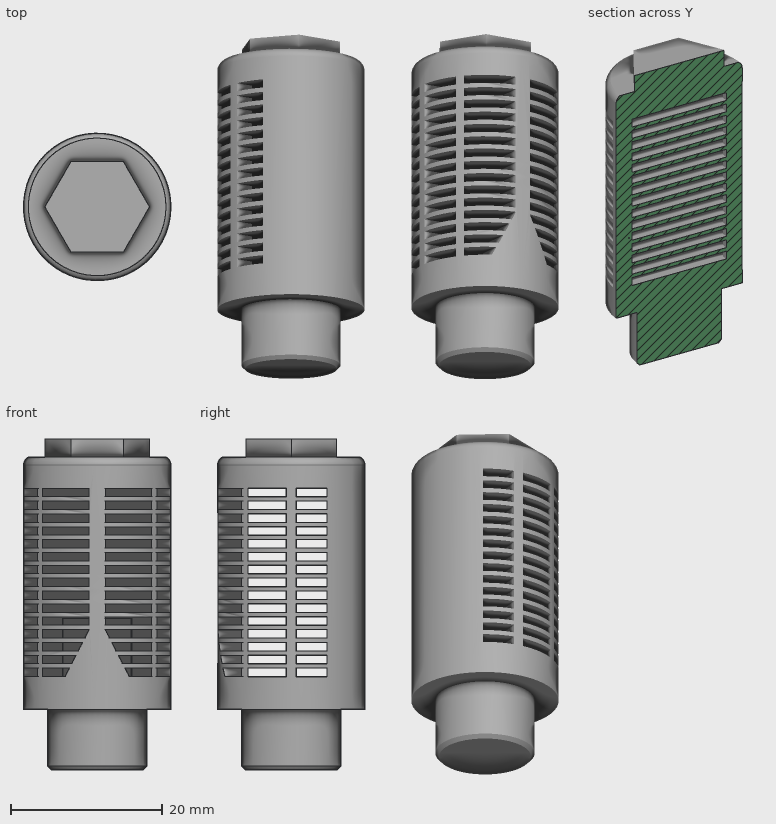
import cadquery as cq
import math

total_height = 43.75
hex_height = 2.4
shoulder_height = 8.0
body_top = total_height - hex_height

body_radius = 19.5 / 2
spigot_radius = 13.157 / 2
spigot_chamfer = 0.5
hex_across_flats = 12.0
hex_across_corners = hex_across_flats / math.cos(math.pi / 6)

rounding_width = 0.65
rounding_height = 1.05
rounding_radius = (rounding_width**2 + rounding_height**2) / (2 * rounding_width)

slot_count = 15
slot_height = 1.1
slot_pitch = 1.7
first_slot_bottom = 12.33

opening_half_width = 7.2
opening_front = -5.7
opening_back = 4.7
front_rib_half_width = 1.1
side_rib_half_width = 0.68

foot_half_base = 4.25
foot_height = 6.15
foot_top = first_slot_bottom + foot_height

core_top = 20.0
core_extra_depth = 0.1

reach = 1.5 * body_radius


def block(x_range, y_range, z_range):
    """Box between the given limits on each axis."""
    sizes = [high - low for low, high in (x_range, y_range, z_range)]
    corner = (x_range[0], y_range[0], z_range[0])
    return cq.Workplane("XY").box(*sizes, centered=False).translate(corner)


def make_spigot():
    spigot = cq.Workplane("XY").circle(spigot_radius).extrude(shoulder_height)
    return spigot.faces("<Z").chamfer(spigot_chamfer)


def make_body():
    """Solid of revolution with the rounded top edge."""
    rounding_bottom = body_top - rounding_height
    half_angle = math.asin(rounding_height / rounding_radius) / 2
    arc_middle = (
        body_radius - rounding_radius * (1 - math.cos(half_angle)),
        rounding_bottom + rounding_radius * math.sin(half_angle),
    )
    profile = (
        cq.Workplane("XZ")
        .moveTo(0, shoulder_height)
        .lineTo(body_radius, shoulder_height)
        .lineTo(body_radius, rounding_bottom)
        .threePointArc(arc_middle, (body_radius - rounding_width, body_top))
        .lineTo(0, body_top)
        .close()
    )
    return profile.revolve(360, (0, 0, 0), (0, 1, 0))


def make_head():
    head = cq.Workplane("XY").workplane(offset=body_top)
    return head.polygon(6, hex_across_corners).extrude(hex_height)


def make_core():
    return cq.Workplane("XY").circle(spigot_radius).extrude(core_top)


def make_rib_foot():
    """Trapezoid that widens the front rib towards the bottom slot."""
    outline = [
        (-foot_half_base, first_slot_bottom),
        (foot_half_base, first_slot_bottom),
        (front_rib_half_width, foot_top),
        (-front_rib_half_width, foot_top),
    ]
    foot = cq.Workplane("XZ", origin=(0, opening_front, 0)).polyline(outline).close()
    return foot.extrude(reach + opening_front)


def make_slot(bottom, core, rib_foot):
    """Cutter for one slot, leaving the ribs and the closed back wall."""
    z_range = (bottom, bottom + slot_height)
    opening_width = (-opening_half_width, opening_half_width)
    side_rib = (-side_rib_half_width, side_rib_half_width)
    front_rib = (-front_rib_half_width, front_rib_half_width)

    slot = block((-reach, reach), (opening_front, opening_back), z_range)
    slot = slot.union(block(opening_width, (-reach, opening_front), z_range))
    slot = slot.cut(block(front_rib, (-reach, opening_front), z_range))
    slot = slot.cut(block((-reach, -opening_half_width), side_rib, z_range))
    slot = slot.cut(block((opening_half_width, reach), side_rib, z_range))
    if bottom < foot_top:
        slot = slot.cut(rib_foot)
    if bottom < core_top:
        deeper_back = (opening_front, opening_back + core_extra_depth)
        slot = slot.union(block(opening_width, deeper_back, z_range).intersect(core))
    return slot


result = make_spigot().union(make_body()).union(make_head())

core = make_core()
rib_foot = make_rib_foot()
for index in range(slot_count):
    slot_bottom = first_slot_bottom + index * slot_pitch
    result = result.cut(make_slot(slot_bottom, core, rib_foot))